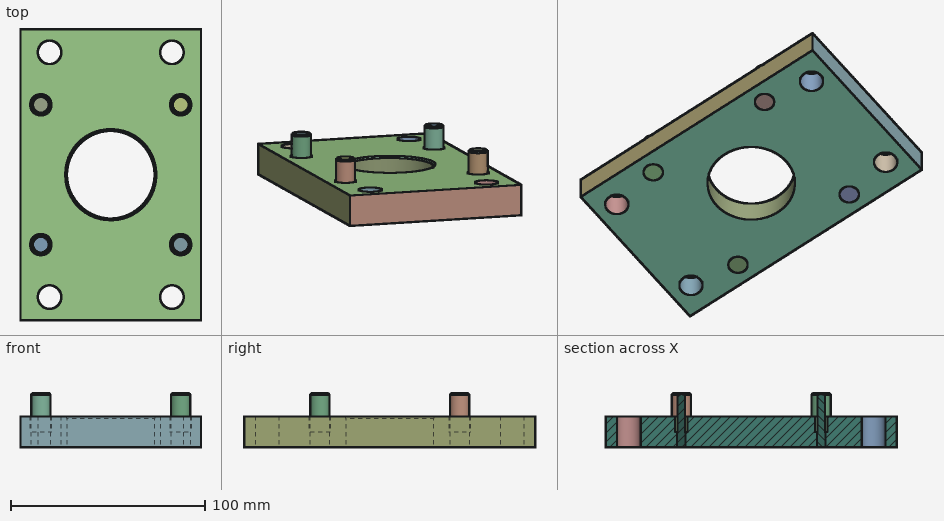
import cadquery as cq

plate_width = 93.0
plate_length = 150.0
plate_thickness = 16.0

bore_diameter = 45.0
bore_chamfer = 1.0
chamfer_angle = 90.0

mounting_hole_diameter = 12.0
mounting_spacing_x = 63.0
mounting_spacing_y = 126.0

pin_diameter = 10.0
pin_projection = 12.0
pin_length = plate_thickness + pin_projection
pin_spacing = 72.0
pin_tip_chamfer = 0.92

clearance_diameter = 11.0
clearance_depth = plate_thickness / 2


def corner_points(spacing_x, spacing_y):
    """Four corners of a rectangle centred on the Z axis."""
    return [
        (side_x * spacing_x / 2, side_y * spacing_y / 2)
        for side_x in (-1, 1)
        for side_y in (-1, 1)
    ]


pin_points = corner_points(pin_spacing, pin_spacing)
mounting_points = corner_points(mounting_spacing_x, mounting_spacing_y)


def make_plate():
    """Rectangular plate with the bore, mounting holes and stepped pin holes."""
    plate = cq.Workplane("XY").box(plate_width, plate_length, plate_thickness, centered=(True, True, False))
    top_face = plate.faces(">Z").workplane()
    plate = top_face.cskHole(bore_diameter, bore_diameter + 2 * bore_chamfer, chamfer_angle)
    top_face = plate.faces(">Z").workplane(origin=(0, 0, plate_thickness))
    plate = top_face.pushPoints(mounting_points).hole(mounting_hole_diameter)
    top_face = plate.faces(">Z").workplane(origin=(0, 0, plate_thickness))
    plate = top_face.pushPoints(pin_points).cboreHole(pin_diameter, clearance_diameter, clearance_depth)
    return plate


def make_pin(x, y):
    """Dowel pin with a chamfered tip, standing at (x, y)."""
    profile = (
        cq.Workplane("XZ")
        .lineTo(pin_diameter / 2, 0)
        .lineTo(pin_diameter / 2, pin_length - pin_tip_chamfer)
        .lineTo(pin_diameter / 2 - pin_tip_chamfer, pin_length)
        .lineTo(0, pin_length)
        .close()
    )
    return profile.revolve(360, (0, 0), (0, 1)).translate((x, y, 0))


plate = make_plate()
pins = [make_pin(x, y) for x, y in pin_points]

result = cq.Compound.makeCompound([plate.val(), *[pin.val() for pin in pins]])